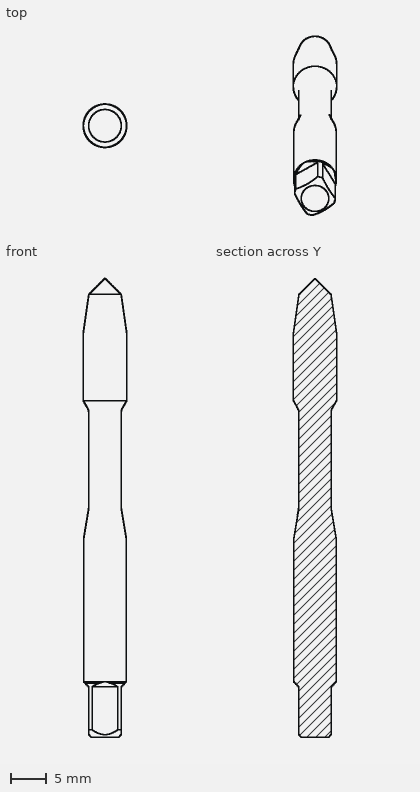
import cadquery as cq
import math

LENGTH = 64.2
HEAD_RADIUS = 6.1 / 2
SHANK_RADIUS = 6.0 / 2
NECK_RADIUS = 4.55 / 2
TIP_RADIUS = NECK_RADIUS
DRIVE_CORNER_RADIUS = 5.8 / 2
DRIVE_END_RADIUS = 1.9

TIP_BASE_Z = LENGTH - TIP_RADIUS
LEAD_BASE_Z = 56.55
HEAD_BASE_Z = 47.05
HEAD_RELIEF_ANGLE = 30.0
NECK_BASE_Z = 32.1
SHANK_TOP_Z = 27.85
SHANK_BASE_Z = 7.75
SHANK_CHAMFER_HEIGHT = 0.2
DRIVE_CHAMFER_HEIGHT = 1.0

HEAD_BLEND_RADIUS = 1.2
SHANK_BLEND_RADIUS = 1.9

SQUARE_WIDTH = 4.55
FLAT_TOP_Z = 7.05
CUTTER_DEPTH = 1.9


def turned_body():
    """Revolve the whole round profile about Z, with both neck blends."""
    relief_height = (HEAD_RADIUS - NECK_RADIUS) / math.tan(math.radians(HEAD_RELIEF_ANGLE))
    neck_top_z = HEAD_BASE_Z - relief_height
    body = (
        cq.Workplane("XZ")
        .moveTo(0, 0)
        .lineTo(DRIVE_END_RADIUS, 0)
        .lineTo(DRIVE_CORNER_RADIUS, DRIVE_CHAMFER_HEIGHT)
        .lineTo(DRIVE_CORNER_RADIUS, SHANK_BASE_Z - SHANK_CHAMFER_HEIGHT)
        .lineTo(SHANK_RADIUS, SHANK_BASE_Z)
        .lineTo(SHANK_RADIUS, SHANK_TOP_Z)
        .lineTo(NECK_RADIUS, NECK_BASE_Z)
        .lineTo(NECK_RADIUS, neck_top_z)
        .lineTo(HEAD_RADIUS, HEAD_BASE_Z)
        .lineTo(HEAD_RADIUS, LEAD_BASE_Z)
        .lineTo(TIP_RADIUS, TIP_BASE_Z)
        .lineTo(0, LENGTH)
        .close()
        .revolve(360, (0, 0), (0, 1))
    )
    for edge_z, blend_radius in (
        (neck_top_z, HEAD_BLEND_RADIUS),
        (NECK_BASE_Z, SHANK_BLEND_RADIUS),
    ):
        neck_edge = cq.selectors.BoxSelector(
            (-SHANK_RADIUS, -SHANK_RADIUS, edge_z - 0.05),
            (SHANK_RADIUS, SHANK_RADIUS, edge_z + 0.05),
            boundingbox=True,
        )
        body = body.edges(neck_edge).fillet(blend_radius)
    return body


def flat_cutter():
    """Material removed to form the +X flat, including its sloped run-out."""
    flat_x = SQUARE_WIDTH / 2
    outer_x = flat_x + CUTTER_DEPTH
    return (
        cq.Workplane("XZ")
        .moveTo(flat_x, 0)
        .lineTo(outer_x, 0)
        .lineTo(outer_x, FLAT_TOP_Z + CUTTER_DEPTH)
        .lineTo(flat_x, FLAT_TOP_Z)
        .close()
        .extrude(SHANK_RADIUS, both=True)
    )


result = turned_body()
for side in range(4):
    result = result.cut(flat_cutter().rotate((0, 0, 0), (0, 0, 1), 90 * side))